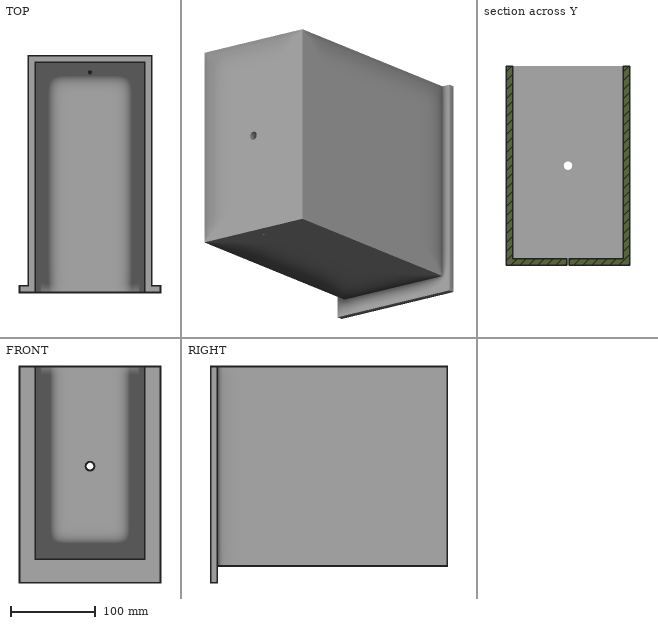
import cadquery as cq

flange_width = 167.0
length = 280.0
height = 256.0

wall = 8.0
body_width = 146.2
flange_thickness = 8.0
flange_drop = 20.0

back_hole_diameter = 10.0
floor_hole_diameter = 2.5
floor_hole_from_back = 20.0

body_height = height - flange_drop
cavity_width = body_width - 2 * wall
floor_top = flange_drop + wall


def block(width, depth, tall, front, bottom):
    """Box centred on X, placed by its front face and its underside."""
    return (
        cq.Workplane("XY")
        .box(width, depth, tall, centered=(True, False, False))
        .translate((0, front, bottom))
    )


body = block(body_width, length, body_height, 0, flange_drop)
flange = block(flange_width, flange_thickness, height, 0, 0)

cavity = block(cavity_width, length - wall, height - floor_top, 0, floor_top)

back_hole = (
    cq.Workplane("XZ", origin=(0, length, flange_drop + body_height / 2))
    .circle(back_hole_diameter / 2)
    .extrude(wall)
)

floor_hole = (
    cq.Workplane("XY", origin=(0, length - floor_hole_from_back, flange_drop))
    .circle(floor_hole_diameter / 2)
    .extrude(wall)
)

result = body.union(flange).cut(cavity).cut(back_hole).cut(floor_hole)